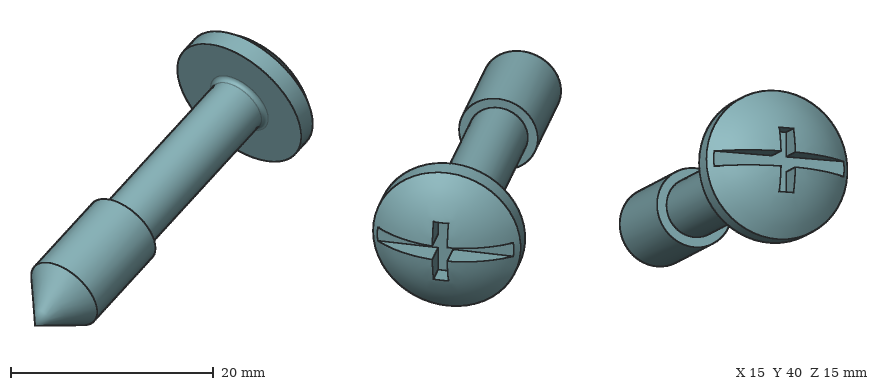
import cadquery as cq
import math

total_length = 39.97
tip_length = 5.0
collar_length = 10.0
shank_length = 20.0
rim_thickness = 2.0

head_diameter = 15.0
shank_diameter = 6.0
collar_diameter = 8.0
neck_fillet = 0.48

slot_width = 1.5
slot_depth = 2.48
cross_arm_length = 6.48

collar_top = -shank_length
collar_bottom = collar_top - collar_length
tip_end = collar_bottom - tip_length
head_top = tip_end + total_length

head_radius = head_diameter / 2
shank_radius = shank_diameter / 2
collar_radius = collar_diameter / 2

corner_radius = math.hypot(slot_width / 2, slot_width / 2)
dome_center = (corner_radius**2 + head_top**2 - head_radius**2 - rim_thickness**2) / (
    2 * (head_top - rim_thickness)
)
dome_radius = math.hypot(head_radius, rim_thickness - dome_center)
dome_top = dome_center + dome_radius


def screw_body():
    """Revolved screw with a conical tip, collar, waisted shank and domed head."""
    return (
        cq.Workplane("XY")
        .moveTo(0, tip_end)
        .lineTo(collar_radius, collar_bottom)
        .lineTo(collar_radius, collar_top)
        .lineTo(shank_radius, collar_top)
        .lineTo(shank_radius, -neck_fillet)
        .radiusArc((shank_radius + neck_fillet, 0), neck_fillet)
        .lineTo(head_radius, 0)
        .lineTo(head_radius, rim_thickness)
        .radiusArc((0, dome_top), -dome_radius)
        .close()
        .revolve(360, (0, 0, 0), (0, 1, 0))
    )


def recess_arm(length_x, length_z):
    """Rectangular cutter reaching slot_depth below the finished top."""
    cutter_height = 2 * slot_depth
    return cq.Workplane("XY").box(length_x, cutter_height, length_z).translate((0, head_top, 0))


through_slot = recess_arm(head_diameter, slot_width)
cross_arm = recess_arm(slot_width, cross_arm_length)
result = screw_body().cut(through_slot).cut(cross_arm)